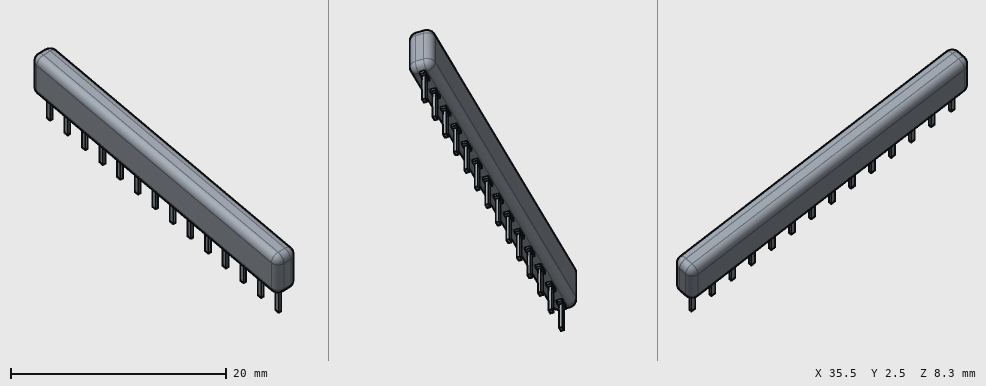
import cadquery as cq

body_length = 35.55
body_thickness = 2.5
body_height = 4.98
overall_height = 8.3
edge_radius = body_thickness / 3

pin_count = 14
pin_pitch = body_length / pin_count
pin_width = 0.5
pin_thickness = 0.32
pin_length = overall_height - body_height

shoulder_width = 1.15
shoulder_thickness = 0.55
shoulder_height = 0.3

embed_depth = 0.35


def make_body():
    """Block standing on Z = 0 with every edge rounded."""
    block = cq.Workplane("XY").box(
        body_length, body_thickness, body_height, centered=(True, True, False)
    )
    return block.edges().fillet(edge_radius)


def hanging_bars(width, thickness, drop):
    """One rectangular bar per pin position, reaching down to Z = -drop."""
    return (
        cq.Workplane("XY", origin=(0, 0, -drop))
        .rarray(pin_pitch, 0.35, pin_count, 1)
        .rect(width, thickness)
        .extrude(drop + embed_depth)
    )


shoulders = hanging_bars(shoulder_width, shoulder_thickness, shoulder_height)
pins = hanging_bars(pin_width, pin_thickness, pin_length)

result = make_body().union(shoulders).union(pins)